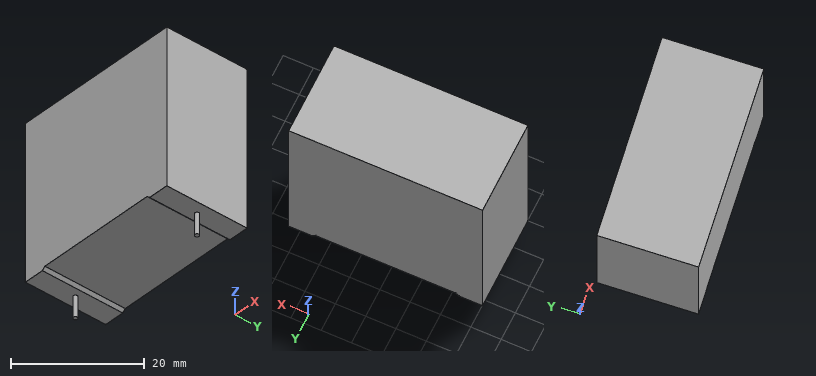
import cadquery as cq

total_height = 33.7
body_length = 32.0
body_width = 16.0

pin_diameter = 0.8
pin_drop = 4.0
pin_spacing = 27.5

relief_depth = 0.5
relief_slope_run = 0.57
foot_length = 3.88

body_height = total_height - pin_drop


def make_body():
    """Rectangular case resting on Z = 0."""
    return cq.Workplane("XY").box(body_length, body_width, body_height, centered=(True, True, False))


def make_relief():
    """Channel with sloped ends, running through the full width of the underside."""
    half_bottom = body_length / 2 - foot_length
    half_top = half_bottom - relief_slope_run
    outline = [
        (-half_bottom, 0),
        (-half_top, relief_depth),
        (half_top, relief_depth),
        (half_bottom, 0),
    ]
    return cq.Workplane("XZ").polyline(outline).close().extrude(body_width / 2, both=True)


def make_pins():
    """Two round leads hanging from the feet."""
    return (
        cq.Workplane("XY")
        .pushPoints([(-pin_spacing / 2, 0), (pin_spacing / 2, 0)])
        .circle(pin_diameter / 2)
        .extrude(-pin_drop)
    )


result = make_body().cut(make_relief()).union(make_pins())